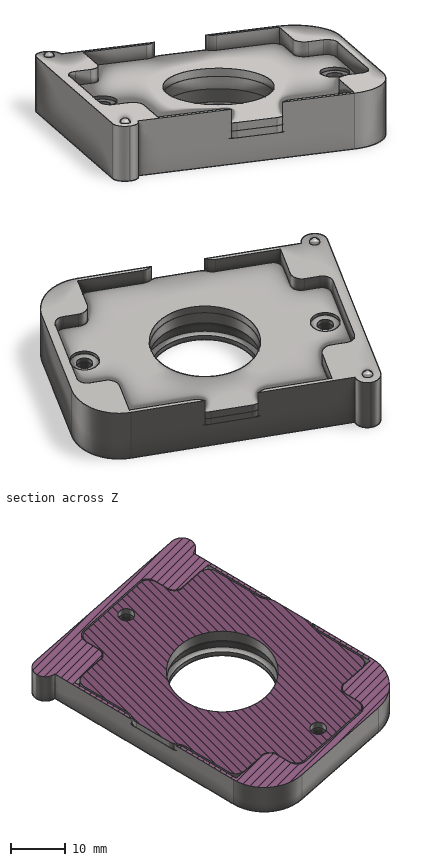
import cadquery as cq
import math


frame_length = 56.45
frame_rear_y = 28.1
frame_half_width = 20.1
rear_corner_radius = 9.0
overall_half_width = 22.3
ear_depth = 4.95
ear_corner_radius = 2.4

lip_height = 1.0
pocket_floor_z = 5.0
lower_plate_thickness = 1.4
upper_plate_thickness = 1.6
front_rim_z = 10.7
rear_rim_z = 10.9
overall_height = 11.45

bump_radius = 1.0

clearance = 0.2
tongue_half_width = 3.95
tongue_bend_radius = 2.5
plate_half_width = 19.15
shoulder_y = 19.25
tab_half_width = 9.95
tab_end_y = 26.15
plate_corner_radius = 2.0

opening_diameter = 20.5
collar_diameter = 22.5
frame_bore_diameter = 23.0
collar_height = 1.0
screw_hole_diameter = 3.0
counterbore_diameter = 5.5
counterbore_depth = 0.6
screw_y = 22.85

frame_front_y = frame_rear_y - frame_length
lower_plate_top_z = pocket_floor_z + lower_plate_thickness
upper_plate_top_z = lower_plate_top_z + upper_plate_thickness
ear_x = overall_half_width - ear_corner_radius
ear_y = frame_front_y + ear_depth / 2
bump_z = overall_height - bump_radius
pocket_inner_corner_radius = plate_corner_radius + clearance
screw_points = [(0, screw_y), (0, -screw_y)]

tongue_step = frame_half_width - plate_half_width
bend_angle = math.acos(1 - tongue_step / 2 / tongue_bend_radius)
bend_centre_y = tongue_half_width + 2 * tongue_bend_radius * math.sin(bend_angle)

pick_margin = 0.05


def prism(outline, bottom_z, top_z):
    """Extrude a closed outline between two heights."""
    return outline.extrude(top_z - bottom_z).translate((0, 0, bottom_z))


def cylinder(diameter, bottom_z, top_z, points=((0, 0),)):
    """Upright cylinder at each of the given points."""
    return prism(cq.Workplane("XY").pushPoints(points).circle(diameter / 2), bottom_z, top_z)


def box(half_width, half_length, bottom_z, top_z):
    """Block centred on the origin in X and Y."""
    return prism(cq.Workplane("XY").rect(2 * half_width, 2 * half_length), bottom_z, top_z)


def corner_edges(x, y):
    """Selector for the upright edges at the four points (+-x, +-y)."""
    selector = None
    for side in (-x, x):
        for end in (-y, y):
            corner = cq.selectors.BoxSelector(
                (side - pick_margin, end - pick_margin, 0),
                (side + pick_margin, end + pick_margin, overall_height),
            )
            selector = corner if selector is None else selector + corner
    return selector


def cross_block(half_width, tab_y, inner_radius, bottom_z, top_z):
    """Wide block with a narrower tab at each end and rounded inner and tab corners."""
    block = box(half_width, shoulder_y, bottom_z, top_z)
    block = block.union(box(tab_half_width, tab_y, bottom_z, top_z))
    block = block.edges("|Z").edges(corner_edges(tab_half_width, shoulder_y)).fillet(inner_radius)
    return block.edges("|Z").edges(corner_edges(tab_half_width, tab_y)).fillet(plate_corner_radius)


def side_tongues(side_x, gap, bottom_z, top_z):
    """Pair of tongues that flare out of both long sides up to the frame's outer faces.

    With a gap, the same tongues grown evenly by that gap, as cut from the frame wall.
    """
    bend_x = plate_half_width + tongue_bend_radius
    inner_radius = tongue_bend_radius - gap
    crest_radius = tongue_bend_radius + gap
    crest_x = frame_half_width - tongue_bend_radius

    def on_bend(angle):
        return (bend_x - inner_radius * math.cos(angle), bend_centre_y - inner_radius * math.sin(angle))

    def on_crest(angle):
        return (crest_x + crest_radius * math.cos(angle), tongue_half_width + crest_radius * math.sin(angle))

    def mirrored(point):
        return (point[0], -point[1])

    start = (side_x, bend_centre_y)
    outline = (
        cq.Workplane("XY")
        .moveTo(0, bend_centre_y)
        .lineTo(*start)
        .threePointArc(on_bend(bend_angle / 2), on_bend(bend_angle))
        .threePointArc(on_crest(bend_angle / 2), on_crest(0))
        .lineTo(*mirrored(on_crest(0)))
        .threePointArc(mirrored(on_crest(bend_angle / 2)), mirrored(on_crest(bend_angle)))
        .threePointArc(mirrored(on_bend(bend_angle / 2)), mirrored(start))
        .lineTo(0, -bend_centre_y)
        .close()
    )
    tongue = prism(outline, bottom_z, top_z)
    return tongue.union(tongue.mirror("YZ"))


def frame_blank():
    """Solid frame: a block with rounded rear corners and two ears along the front."""
    body = prism(
        cq.Workplane("XY").rect(2 * frame_half_width, frame_length), 0, rear_rim_z
    ).translate((0, frame_rear_y - frame_length / 2, 0))
    body = body.edges("|Z and >Y").fillet(rear_corner_radius)

    ear_bar = box(overall_half_width, ear_depth / 2, 0, rear_rim_z).translate((0, ear_y, 0))
    ear_bar = ear_bar.edges("|Z").fillet(ear_corner_radius)

    overhang = box(frame_half_width, ear_depth / 4, 0, rear_rim_z)
    body = body.cut(overhang.translate((0, frame_front_y + ear_depth / 4, 0)))
    return body.union(ear_bar)


def make_frame():
    """Frame with a pocket for the plates, a stepped bore and two domed bumps."""
    frame = frame_blank()

    front_relief = cq.Workplane("XY").box(
        2 * overall_half_width, -frame_front_y, rear_rim_z - front_rim_z, centered=(True, False, False)
    )
    frame = frame.cut(front_relief.translate((0, frame_front_y, front_rim_z)))

    frame = frame.cut(cross_block(
        plate_half_width + clearance, tab_end_y + clearance,
        pocket_inner_corner_radius, pocket_floor_z, rear_rim_z,
    ))
    frame = frame.cut(side_tongues(plate_half_width + clearance, clearance, pocket_floor_z, rear_rim_z))

    frame = frame.cut(cylinder(frame_bore_diameter, lip_height, pocket_floor_z))
    frame = frame.cut(cylinder(opening_diameter, 0, lip_height))
    frame = frame.cut(cylinder(screw_hole_diameter, 0, pocket_floor_z, screw_points))

    for x in (-ear_x, ear_x):
        frame = frame.union(cq.Workplane("XY").sphere(bump_radius).translate((x, ear_y, bump_z)))
    return frame


def plate_blank(bottom_z, top_z):
    """Plate outline shared by both plates, with the screw holes."""
    block = cross_block(plate_half_width, tab_end_y, plate_corner_radius, bottom_z, top_z)
    block = block.edges("|Z").edges(corner_edges(plate_half_width, shoulder_y)).fillet(plate_corner_radius)
    block = block.union(side_tongues(plate_half_width, 0, bottom_z, top_z))
    return block.cut(cylinder(screw_hole_diameter, bottom_z, top_z, screw_points))


def make_lower_plate():
    """Plate whose collar drops into the frame bore."""
    plate = plate_blank(pocket_floor_z, lower_plate_top_z)
    collar_bottom_z = pocket_floor_z - collar_height
    plate = plate.union(cylinder(collar_diameter, collar_bottom_z, pocket_floor_z))
    return plate.cut(cylinder(opening_diameter, collar_bottom_z, lower_plate_top_z))


def make_upper_plate():
    """Plate with counterbored screw holes."""
    plate = plate_blank(lower_plate_top_z, upper_plate_top_z)
    plate = plate.cut(cylinder(opening_diameter, lower_plate_top_z, upper_plate_top_z))
    return plate.cut(cylinder(
        counterbore_diameter, upper_plate_top_z - counterbore_depth, upper_plate_top_z, screw_points
    ))


frame = make_frame()
lower_plate = make_lower_plate()
upper_plate = make_upper_plate()

result = cq.Compound.makeCompound([frame.val(), lower_plate.val(), upper_plate.val()])